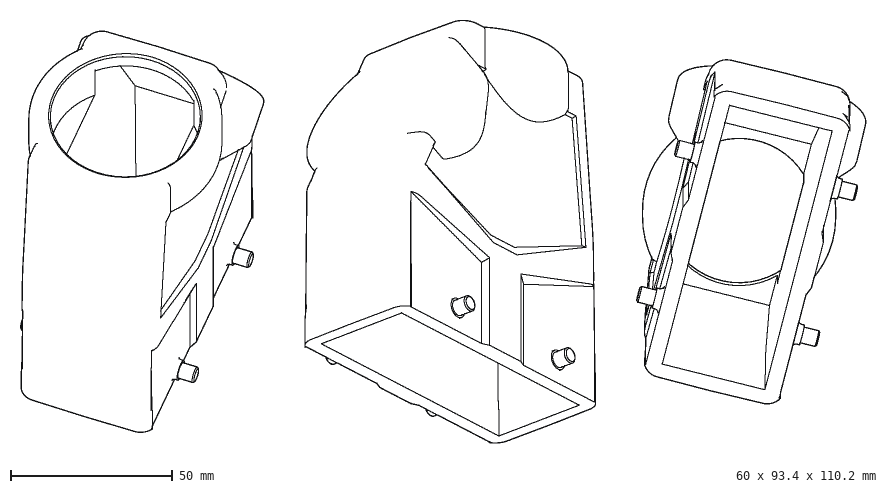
import cadquery as cq
import math

height = 110.2
half_length = 46.7
half_width = 22.5
draft_angle = 0.6
deep_below = 11.0

foot_top = 9.0
foot_blend_top = 11.0
foot_inset = 0.28
shoulder_y = 45.8
shoulder_z = 54.3
slant_top_y = 18.5
front_knee_y = -45.6
front_knee_z = 56.2
front_top_y = -40.4
knee_reach = 4.1
shoulder_radius = 2.2

corner_radius = 5.6
rim_radius = 1.5

collar_radius = 30.0
collar_height = 14.8
collar_cone_angle = 48.5
collar_base_radius = 2.1
top_collar_y = -10.1

wall = 4.5
cavity_half_width = 16.4
roof_thickness = 5.5
bore_radius = 23.3
bore_depth = 18.0
bore_chamfer = 0.8

recess_depth = 1.1
recess_overrun = 1.1
panel_top_z = 95.0
panel_side_z = 51.2
panel_bottom_z = 36.3
panel_floor_bottom_z = 39.2
panel_back_y = 37.9
panel_top_back_y = 16.3
panel_front_y = -38.3
panel_top_front_y = -33.7
panel_bottom_half = 5.6
panel_rim = 0.7

pad_end_y = 43.6
pad_end_z = 40.2
pad_end_rim = 0.2
pad_inner_y = 7.4
pad_inner_z = 30.3
pad_rim_y = 2.6
pad_rim_z = 2.2

pin_y = 23.8
pin_z = 6.4
pin_radius = 2.5
pin_tip_x = 28.8
pin_root_radius = 3.2
pin_root_x = 23.6
pin_flare_radius = 1.4
pin_chamfer = 0.4

slant_angle = math.degrees(math.atan2(shoulder_y - slant_top_y, height - shoulder_z))
slant_mid_y = (shoulder_y + slant_top_y) / 2
slant_mid_z = (shoulder_z + height) / 2


def point_between(start, end, share):
    """Point part of the way from start to end."""
    return tuple(a + share * (b - a) for a, b in zip(start, end))


def side_outline(x=0.0):
    """Outline of the hood at a distance x from its middle, carried on below the base.

    The ends and the top draw in a little with x, so the faces meet in a faint ridge at X = 0.
    """
    inset = x * math.tan(math.radians(draft_angle))
    top_z = height - inset
    foot_y = half_length - inset
    blend_y = foot_y - foot_inset
    foot_blend = (-blend_y, foot_blend_top)
    knee = (front_knee_y + inset, front_knee_z)
    front_top = (front_top_y + inset, top_z)
    knee_end = point_between(knee, front_top, knee_reach / (top_z - front_knee_z))
    knee_start = point_between(knee, foot_blend, knee_reach / (front_knee_z - foot_blend_top))
    knee_middle = point_between(knee, point_between(knee_start, knee_end, 0.5), 0.5)
    return (
        cq.Workplane("YZ", origin=(x, 0, 0))
        .polyline([
            (foot_y, -deep_below),
            (foot_y, foot_top),
            (blend_y, foot_blend_top),
            (shoulder_y - inset, shoulder_z),
            (slant_top_y - inset, top_z),
            front_top,
            knee_end,
        ])
        .threePointArc(knee_middle, knee_start)
        .lineTo(*foot_blend)
        .lineTo(-foot_y, foot_top)
        .lineTo(-foot_y, -deep_below)
        .close()
    )


def box_between(x_half, z_low, z_high):
    """Box centred on the Z axis, longer than the hood."""
    tall = z_high - z_low
    return cq.Workplane("XY").box(2 * x_half, 3 * half_length, tall).translate((0, 0, (z_low + z_high) / 2))


def box_around(x_half, y, z, reach):
    """Selector for edges whose middle lies near (y, z) and within x_half of X = 0."""
    return cq.selectors.BoxSelector((-x_half, y - reach, z - reach), (x_half, y + reach, z + reach))


def make_envelope():
    """Outline drafted away from the parting plane at X = 0, wide enough for the collars."""
    shoulder = box_around(collar_radius, shoulder_y, shoulder_z, 1.1)
    outlines = [side_outline(x).wire().val() for x in (0.0, collar_radius + 1.1)]
    half = cq.Workplane(cq.Solid.makeLoft(outlines, True)).edges(shoulder).fillet(shoulder_radius)
    return half.union(half.mirror("YZ"))


def make_body(envelope):
    """Hood body with rounded corners along its two ends."""
    body = envelope.intersect(box_between(half_width, -deep_below, height))
    below_top = height - corner_radius
    end_edges = body.faces("<X or >X").edges(cq.selectors.BoxSelector(
        (-half_width - 1.1, -half_length - 1.1, -deep_below + 1.1), (half_width + 1.1, half_length + 1.1, below_top)
    ))
    return end_edges.fillet(corner_radius)


def make_collar():
    """Collar hanging down from the origin: a drum with a cone below it."""
    cone_drop = collar_radius * math.tan(math.radians(collar_cone_angle))
    top = 2.2
    collar = (
        cq.Workplane("YZ")
        .polyline([(0, top), (collar_radius, top), (collar_radius, -collar_height), (0, -collar_height - cone_drop)])
        .close()
        .revolve(360, (0, 0, 0), (0, 1, 0))
    )
    base = cq.selectors.BoxSelector(
        (-collar_radius - 1.1, -collar_radius - 1.1, -collar_height - 1.1),
        (collar_radius + 1.1, collar_radius + 1.1, -collar_height + 1.1),
    )
    return collar.edges(base).fillet(collar_base_radius)


def make_recess(outer, floor):
    """Cutter for the +X side that narrows from an outer outline to a floor outline."""
    return (
        cq.Workplane("YZ", origin=(half_width, 0, 0)).polyline(outer).close()
        .workplane(offset=-recess_depth).polyline(floor).close()
        .loft(ruled=True, combine=True)
    )


def panel_outline(rim, bottom_z):
    """Corners of the panel, drawn in by rim everywhere but at its bottom."""
    top_z = panel_top_z - rim
    side_z = panel_side_z + rim
    return [
        (panel_back_y - rim, side_z),
        (panel_top_back_y - rim, top_z),
        (panel_top_front_y + rim, top_z),
        (panel_front_y + rim, side_z),
        (-panel_bottom_half, bottom_z),
        (panel_bottom_half, bottom_z),
    ]


def make_panel():
    """Six-sided recess below the collars."""
    return make_recess(panel_outline(0, panel_bottom_z), panel_outline(panel_rim, panel_floor_bottom_z))


def pad_outline(side, end_z, inner_y, inner_z):
    """Corners of a latch pad, from below the base up to its sloping top edge."""
    corners = [
        (pad_end_y, -recess_overrun),
        (pad_end_y, end_z),
        (inner_y, inner_z),
        (inner_y, -recess_overrun),
    ]
    return [(side * y, z) for y, z in corners]


def make_latch_pad(side):
    """Recess round one latch pin, open at the base and at the rounded corner."""
    outer = pad_outline(side, pad_end_z, pad_inner_y, pad_inner_z)
    floor = pad_outline(side, pad_end_z - pad_end_rim, pad_inner_y + pad_rim_y, pad_inner_z - pad_rim_z)
    return make_recess(outer, floor)


def make_pin():
    """Latch pin on the +X side with a flared, stepped root and a chamfered tip."""
    floor_x = half_width - recess_depth
    inside_x = floor_x - 1.1
    flare_mid = pin_flare_radius * (1 - math.sqrt(0.5))
    return (
        cq.Workplane("XY")
        .moveTo(inside_x, 0)
        .lineTo(inside_x, pin_root_radius + pin_flare_radius)
        .lineTo(floor_x, pin_root_radius + pin_flare_radius)
        .threePointArc(
            (floor_x + flare_mid, pin_root_radius + flare_mid),
            (floor_x + pin_flare_radius, pin_root_radius),
        )
        .lineTo(pin_root_x, pin_root_radius)
        .lineTo(pin_root_x, pin_radius)
        .lineTo(pin_tip_x - pin_chamfer, pin_radius)
        .lineTo(pin_tip_x, pin_radius - pin_chamfer)
        .lineTo(pin_tip_x, 0)
        .close()
        .revolve(360, (0, 0, 0), (1, 0, 0))
    )


def round_slanted_rim(slanted_collar):
    """Round the outer rim of the slanted collar, leaving the seam at X = 0."""
    reach = 3.3
    rim = box_around(collar_radius, slant_mid_y, slant_mid_z, reach)
    seam = box_around(1.1, slant_mid_y, slant_mid_z, reach)
    return slanted_collar.edges(rim - seam).fillet(rim_radius)


def round_top(hood):
    """Round every edge round the top except the seam at X = 0."""
    seam = cq.selectors.BoxSelector((-1.1, -half_length, height - 1.1), (1.1, half_length, height + 1.1))
    top_edges = cq.selectors.BoxSelector(
        (-collar_radius, -half_length, height - 0.5), (collar_radius, half_length, height + 1.1)
    )
    return hood.edges(top_edges - seam).fillet(rim_radius)


def make_bore():
    """Cable entry through the upright collar, chamfered at its mouth."""
    top = height + 1.1
    bore = cq.Workplane("XY").circle(bore_radius).extrude(bore_depth + 1.1).translate((0, 0, height - bore_depth))
    mouth_z = height - bore_chamfer
    mouth = cq.Workplane("XZ").polyline([
        (0, mouth_z), (bore_radius, mouth_z), (bore_radius + bore_chamfer + 1.1, top), (0, top)
    ]).close().revolve(360, (0, 0, 0), (0, 1, 0))
    return bore.union(mouth).translate((0, top_collar_y, 0))


def make_cavity():
    """Inside space that follows the outline at an even wall thickness."""
    space = side_outline().offset2D(-wall).extrude(cavity_half_width, both=True)
    return space.intersect(box_between(cavity_half_width, -deep_below, height - roof_thickness))


envelope = make_envelope()
hood = make_body(envelope)
for cutter in (make_panel(), make_latch_pad(1), make_latch_pad(-1)):
    hood = hood.cut(cutter).cut(cutter.mirror("YZ"))

collar = make_collar()
upright_collar = collar.translate((0, top_collar_y, height)).intersect(envelope)
slanted_collar = (
    collar.rotate((0, 0, 0), (1, 0, 0), slant_angle - 90)
    .translate((0, slant_mid_y, slant_mid_z))
    .intersect(envelope)
)
slanted_collar = round_slanted_rim(slanted_collar)
hood = hood.union(upright_collar).union(slanted_collar)
hood = hood.cut(box_between(collar_radius + 2.2, -2 * deep_below, 0))
hood = round_top(hood)
hood = hood.cut(make_cavity()).cut(make_bore())

pin = make_pin()
for side in (1, -1):
    placed_pin = pin.translate((0, side * pin_y, pin_z))
    hood = hood.union(placed_pin).union(placed_pin.mirror("YZ"))

result = cq.Workplane(hood.solids().val())